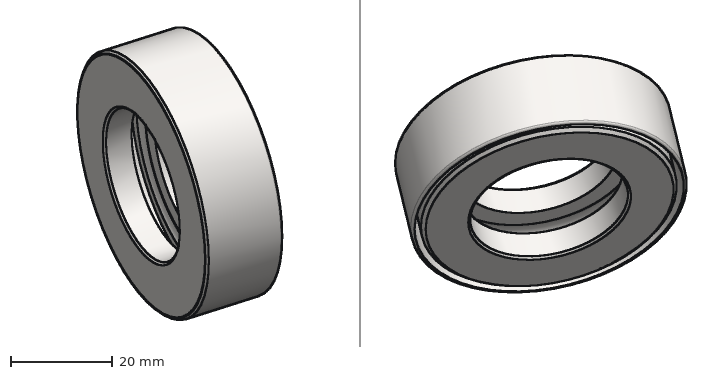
import cadquery as cq
import math

overall_width = 17.4625
bore_diameter = 31.75
bore_chamfer = 0.5

band_outer_diameter = 55.5625
band_inner_diameter = 54.19
band_edge_diameter = 54.55
band_edge = (band_outer_diameter - band_edge_diameter) / 2
band_setback = 0.38

rear_washer_diameter = 51.5
rear_washer_chamfer = 0.8
washer_gap = 5.1
washer_thickness = (overall_width - washer_gap) / 2

groove_radius = 3.175
groove_inner_edge_radius = 19.8
groove_half_width = math.sqrt(groove_radius**2 - (washer_gap / 2) ** 2)
groove_pitch_radius = groove_inner_edge_radius + groove_half_width

front_y = -overall_width / 2
smallest_circle = cq.selectors.RadiusNthSelector(0)
largest_circle = cq.selectors.RadiusNthSelector(-1)


def ring(outer_diameter, inner_diameter, start_y, width):
    """Plain ring about the Y axis, from start_y toward +Y."""
    return (
        cq.Workplane("XZ", origin=(0, start_y, 0))
        .circle(outer_diameter / 2)
        .circle(inner_diameter / 2)
        .extrude(-width)
    )


def ball_groove():
    """Torus that cuts the ball groove into the facing sides of both washers."""
    centre = cq.Vector(0, 0, 0)
    axis = cq.Vector(0, 1, 0)
    return cq.Workplane(cq.Solid.makeTorus(groove_pitch_radius, groove_radius, centre, axis))


def make_front_washer():
    """Washer that fills the band and lies flush with its front end."""
    washer = ring(band_inner_diameter, bore_diameter, front_y, washer_thickness)
    washer = washer.faces("<Y").edges(smallest_circle).chamfer(bore_chamfer)
    return washer.cut(ball_groove())


def make_rear_washer():
    """Smaller washer that stands proud of the rear end of the band."""
    washer = ring(rear_washer_diameter, bore_diameter, washer_gap / 2, washer_thickness)
    washer = washer.faces(">Y").edges(smallest_circle).chamfer(bore_chamfer)
    washer = washer.faces(">Y").edges(largest_circle).chamfer(rear_washer_chamfer)
    return washer.cut(ball_groove())


def make_band():
    """Thin band with a chamfered front edge and a rounded rear edge."""
    band = ring(band_outer_diameter, band_inner_diameter, front_y, overall_width - band_setback)
    band = band.faces("<Y").edges(largest_circle).chamfer(band_edge)
    return band.faces(">Y").edges(largest_circle).fillet(band_edge)


front_washer = make_front_washer()
rear_washer = make_rear_washer()
band = make_band()

result = cq.Compound.makeCompound([front_washer.val(), rear_washer.val(), band.val()])